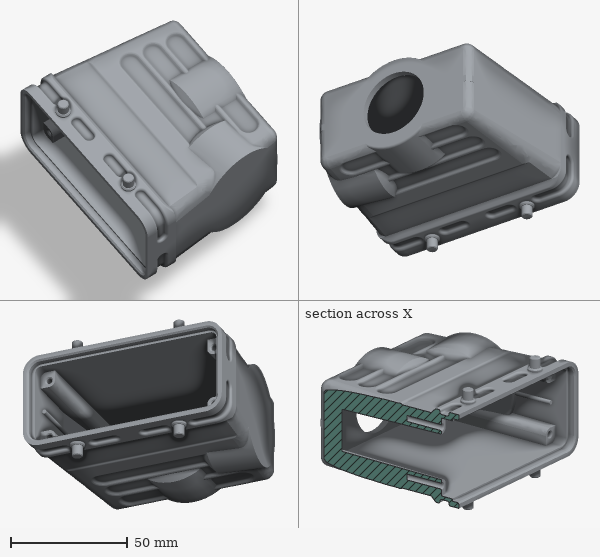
import cadquery as cq
import math


length_x = 93.5
length_y = 76.0
length_z = 55.0
tolerance = 0.01

collar_height = 43.2
collar_corner = 7.5
collar_depth = 15.0
collar_chamfer_start = 12.6
collar_chamfer_round = 0.9

body_height = 39.65
body_front_half_x = 46.5
body_back_half_x = 38.2
body_front_corner = 7.4
body_back_corner = 4.1
body_back_round = 3.7
taper = (body_front_half_x - body_back_half_x) / (length_y - collar_depth)
taper_angle = math.degrees(math.atan(taper))

panel_half_z = 19.3
panel_end = 30.3
panel_ramp = 1.7

mouth_length = 88.65
mouth_height = 37.8
mouth_corner = 5.1
mouth_chamfer = 0.7
mouth_depth = 3.5
cavity_half_x = 42.6
cavity_front_half_z = 17.9
cavity_back_half_z = 16.9
cavity_taper_start = 33.7
cavity_corner = 2.8
cavity_back_round = 1.6
back_wall = 3.1
cavity_end = length_y - back_wall
cavity_back_half_x = cavity_half_x - taper * (cavity_end - cavity_taper_start)

entry_bore = 30.4
entry_boss_radius = 22.4
back_boss_start = 54.2
back_boss_round = 0.9
side_axis_x = 20.7
side_axis_y = 49.7
side_wall_x = body_front_half_x - taper * (side_axis_y - collar_depth)
side_boss_height = (side_wall_x - side_axis_x) * math.cos(math.atan(taper))
side_pad_thickness = 4.9
side_pad_round = 0.9

groove_depth = 1.2
groove_floor_radius = 3.65
groove_round = 1.0
groove_edge_margin = 1.9
groove_first_y = 67.7
groove_pitch = 11.08
groove_left_centres = [-26.5, -28.05, -29.4]
groove_right_centre = 26.6

slot_width = 4.6
slot_depth = 2.0
slot_y = 7.9
slot_floor_round = 0.8
slot_edge_round = 1.0
slot_inner_centre = 7.4
slot_outer_centre = 16.3
corner_slot_centre_x = 30.7
corner_slot_centre_z = 7.7

pin_x = 23.9
pin_y = 6.2
pin_diameter = 4.8
pin_chamfer = 0.4
washer_diameter = 6.5
washer_height = 1.3
washer_chamfer = 0.6

post_x = 38.7
post_z = 13.5
post_start = 9.3
post_inner_x = 35.8
post_inner_z = 10.4
post_corner = 2.9
post_draft = 0.9
screw_diameter = 2.5
screw_mouth = 3.65
screw_depth = 18.7

rib_radius = 0.9
rib_tip_x = 40.8
rib_start = 10.9
rib_length = 23.4
tab_width = 3.2
tab_chamfer = 1.8


def rounded_rect(length, height, corner):
    return cq.Sketch().rect(length, height).vertices().fillet(corner)


def along_y(y):
    """Workplane at height y along the hood, extruding towards +Y with local axes -X and Z."""
    return cq.Workplane(cq.Plane((0, y, 0), (-1, 0, 0), (0, 1, 0)))


def prism_z(points, half_height):
    return cq.Workplane("XY").polyline(points).close().extrude(half_height, both=True)


def prism_x(points, half_length):
    return cq.Workplane("YZ").polyline(points).close().extrude(half_length, both=True)


def both_faces(shape):
    return shape.union(shape.mirror("XY"))


def four_corners(shape):
    half = shape.union(shape.mirror("YZ"))
    return both_faces(half)


def make_collar():
    outline = rounded_rect(length_x, collar_height, collar_corner)
    collar = along_y(0).placeSketch(outline).extrude(collar_depth)
    half = collar_height / 2
    bevel = prism_x(
        [(collar_chamfer_start, half), (collar_depth, half), (collar_depth, panel_half_z)],
        length_x,
    )
    collar = collar.cut(both_faces(bevel))
    low = (-length_x, collar_chamfer_start - tolerance, -collar_height)
    high = (length_x, collar_chamfer_start + tolerance, collar_height)
    return collar.edges(cq.selectors.BoxSelector(low, high, boundingbox=True)).fillet(collar_chamfer_round)


def make_body():
    front = rounded_rect(2 * body_front_half_x, body_height, body_front_corner)
    back = rounded_rect(2 * body_back_half_x, body_height, body_back_corner)
    back = back.moved(cq.Location(cq.Vector(0, 0, length_y - collar_depth)))
    body = along_y(collar_depth).placeSketch(front, back).loft(ruled=True)
    body = body.faces(">Y").edges().fillet(body_back_round)
    top = body_height / 2
    ramp_middle = (panel_end + panel_ramp / 2, (panel_half_z + top) / 2)
    panel = (
        cq.Workplane("YZ")
        .moveTo(collar_depth, panel_half_z)
        .lineTo(panel_end, panel_half_z)
        .tangentArcPoint(ramp_middle, relative=False)
        .tangentArcPoint((panel_end + panel_ramp, top), relative=False)
        .lineTo(collar_depth, top)
        .close()
        .extrude(length_x, both=True)
    )
    return body.cut(both_faces(panel))


def make_groove(index):
    """Stadium-shaped cutter with a rounded floor and 45 degree sides, for the +Z face."""
    left = groove_left_centres[index]
    span = groove_right_centre - left
    middle = (left + groove_right_centre) / 2
    floor_z = body_height / 2 - groove_depth
    plane = cq.Workplane("XY", origin=(middle, groove_first_y - index * groove_pitch, floor_z))
    groove = plane.slot2D(span + 2 * groove_floor_radius, 2 * groove_floor_radius)
    groove = groove.extrude(groove_depth, taper=-45)
    return groove.faces("<Z").edges().fillet(groove_round)


def cut_grooves(body):
    for index in range(len(groove_left_centres)):
        body = body.cut(both_faces(make_groove(index)))
    top = body_height / 2
    reach = body_back_half_x - body_back_corner
    for face_z in (-top, top):
        low = (-reach, panel_end + 2 * panel_ramp, face_z - tolerance)
        high = (reach, length_y - groove_edge_margin, face_z + tolerance)
        body = body.edges(cq.selectors.BoxSelector(low, high, boundingbox=True)).fillet(groove_round)
    return body


def coned_boss(length):
    """Solid boss along local +Z whose starting end is a 45 degree cone."""
    r = entry_boss_radius
    profile = [(0, -r), (r, 0), (r, length), (0, length)]
    return cq.Workplane("XZ").polyline(profile).close().revolve(360, (0, 0), (0, 1))


def place_side(shape, distance):
    """Turn a shape along local Z onto the axis square to the sloping +X wall."""
    angle = math.radians(taper_angle)
    x = side_axis_x + distance * math.cos(angle)
    y = side_axis_y + distance * math.sin(angle)
    turned = shape.rotate((0, 0, 0), (0, 1, 0), 90).rotate((0, 0, 0), (0, 0, 1), taper_angle)
    return turned.translate((x, y, 0))


def make_back_boss():
    boss = coned_boss(length_y - back_boss_start).faces(">Z").edges().fillet(back_boss_round)
    return boss.rotate((0, 0, 0), (1, 0, 0), -90).translate((0, back_boss_start, 0))


def make_side_pad():
    """Thick pad inside the +X wall, round towards the mouth and running straight to the end wall."""
    start = side_boss_height - side_pad_thickness
    pad = cq.Workplane("XY").circle(entry_boss_radius).extrude(side_pad_thickness)
    reach = entry_boss_radius
    straight = cq.Workplane("XY").center(0, reach).rect(2 * reach, 2 * reach).extrude(side_pad_thickness)
    pad = pad.union(straight).faces("<Z").edges().fillet(side_pad_round)
    return place_side(pad, start)


def make_post(depth):
    """Drafted post in the +X +Z cavity corner, running from its screw face to the end wall."""
    def section(growth):
        near_x = post_inner_x - growth
        near_z = post_inner_z - growth
        size_x = length_x / 2 - near_x
        size_z = collar_height / 2 - near_z
        outline = cq.Sketch().rect(size_x, size_z).vertices(">X and <Y").fillet(post_corner)
        return outline.moved(cq.Location(cq.Vector(-near_x - size_x / 2, near_z + size_z / 2, 0)))

    back = section(post_draft).moved(cq.Location(cq.Vector(0, 0, depth)))
    return along_y(post_start).placeSketch(section(0), back).loft(ruled=True)


def make_cavity():
    """Hollow behind the mouth, leaving the side pad and the four screw posts standing."""
    plan = prism_z(
        [
            (-cavity_half_x, 0),
            (cavity_half_x, 0),
            (cavity_half_x, cavity_taper_start),
            (cavity_back_half_x, cavity_end),
            (-cavity_back_half_x, cavity_end),
            (-cavity_half_x, cavity_taper_start),
        ],
        cavity_front_half_z,
    )
    profile = prism_x(
        [
            (0, -cavity_front_half_z),
            (mouth_depth, -cavity_front_half_z),
            (cavity_end, -cavity_back_half_z),
            (cavity_end, cavity_back_half_z),
            (mouth_depth, cavity_front_half_z),
            (0, cavity_front_half_z),
        ],
        cavity_half_x,
    )
    rounded_corners = plan.intersect(profile).edges("not(|X or |Z)").fillet(cavity_corner)
    rounded_back = plan.cut(make_side_pad()).faces(">Y").edges("|Z").fillet(cavity_back_round)
    posts = four_corners(make_post(cavity_end - post_start))
    return rounded_corners.intersect(rounded_back).cut(posts)


def make_mouth():
    """Stepped recess at the mouth with a chamfered lip."""
    opening = rounded_rect(mouth_length, mouth_height, mouth_corner)
    recess = along_y(0).placeSketch(opening).extrude(mouth_depth)
    lip = rounded_rect(
        mouth_length + 2 * mouth_chamfer,
        mouth_height + 2 * mouth_chamfer,
        mouth_corner + mouth_chamfer,
    )
    return recess.union(along_y(0).placeSketch(lip).extrude(mouth_chamfer, taper=45))


def make_screw_hole():
    r = screw_diameter / 2
    mouth = screw_mouth / 2
    plane = cq.Workplane("XY", origin=(post_x, post_start, post_z))
    profile = [(0, 0), (mouth, 0), (r, mouth - r), (r, screw_depth), (0, screw_depth)]
    return plane.polyline(profile).close().revolve(360, (0, 0), (0, 1))


def make_ribs():
    rib = along_y(rib_start).center(-rib_tip_x - rib_radius, 0).circle(rib_radius).extrude(rib_length)
    return rib.union(rib.mirror("YZ"))


def stadium_prism(plane, length, angle=0):
    return plane.slot2D(length, slot_width, angle).extrude(length_x)


def skin_depth(point):
    """Distance of a point inside the rounded outline of the collar."""
    past_x = abs(point.x) - (length_x / 2 - collar_corner)
    past_z = abs(point.z) - (collar_height / 2 - collar_corner)
    reach = math.hypot(max(past_x, 0), max(past_z, 0)) + min(max(past_x, past_z), 0)
    return collar_corner - reach


def slot_rim(shape, depth):
    """Edges running along a slot at one depth below the collar skin."""
    def on_rim(edge):
        points = [edge.startPoint(), edge.endPoint(), edge.positionAt(0.5)]
        at_depth = all(abs(skin_depth(p) - depth) < tolerance for p in points)
        in_band = all(abs(p.y - slot_y) < slot_width / 2 + tolerance for p in points)
        crosses = edge.geomType() == "LINE" and abs(points[0].y - points[1].y) > tolerance
        return at_depth and in_band and not crosses

    return shape.edges().filter(on_rim)


def make_slots():
    """One straight slot and one slot wrapping round the corner, in the +X +Z quarter."""
    core = rounded_rect(
        length_x - 2 * slot_depth,
        collar_height - 2 * slot_depth,
        collar_corner - slot_depth,
    )
    around = rounded_rect(2 * length_x, 2 * length_x, collar_corner)
    shell = along_y(0).placeSketch(around).extrude(collar_depth)
    shell = shell.cut(along_y(0).placeSketch(core).extrude(collar_depth))

    inner_span = slot_outer_centre - slot_inner_centre
    inner_plane = cq.Workplane("XY", origin=((slot_outer_centre + slot_inner_centre) / 2, slot_y, 0))
    straight = stadium_prism(inner_plane, inner_span + slot_width)

    top_plane = cq.Workplane("XY", origin=(corner_slot_centre_x + length_x / 2, slot_y, 0))
    side_plane = cq.Workplane("YZ", origin=(0, slot_y, corner_slot_centre_z + length_x / 2))
    wrapping = stadium_prism(top_plane, length_x + slot_width)
    wrapping = wrapping.intersect(stadium_prism(side_plane, length_x + slot_width, 90))

    slots = straight.union(wrapping).intersect(shell)
    return slot_rim(slots, slot_depth).fillet(slot_floor_round)


def make_pin():
    """Locking pin on a chamfered washer, both rooted one unit below the collar skin."""
    base = collar_height / 2
    r = pin_diameter / 2
    washer = cq.Workplane("XY", origin=(pin_x, pin_y, base - 0.9)).circle(washer_diameter / 2)
    washer = washer.extrude(washer_height + 0.9).faces(">Z").edges().chamfer(washer_chamfer)
    pin = cq.Workplane("XY", origin=(pin_x, pin_y, base - 0.9)).circle(r).extrude(length_z / 2 - base + 0.9)
    return washer.union(pin.faces(">Z").edges().chamfer(pin_chamfer))


def make_gate_tab():
    """Flat chamfered tab across the rounded back edge of each end wall."""
    wall_x = body_back_half_x + taper * body_back_round
    chamfer_x = body_back_half_x + taper * tab_chamfer
    tab = prism_z(
        [
            (wall_x, length_y - body_back_round),
            (chamfer_x, length_y - tab_chamfer),
            (body_back_half_x - tab_chamfer, length_y),
            (body_back_half_x - body_back_round, length_y),
            (body_back_half_x - body_back_round, length_y - body_back_round),
        ],
        tab_width / 2,
    )
    return tab.union(tab.mirror("YZ"))


collar = make_collar().cut(four_corners(make_slots()))
collar = slot_rim(collar, 0).fillet(slot_edge_round)
body = cut_grooves(make_body())
side_boss = place_side(coned_boss(side_boss_height), 0)
hood = collar.union(body).union(make_back_boss()).union(side_boss).union(make_gate_tab())

hood = hood.cut(make_mouth()).cut(make_cavity())
hood = hood.union(make_ribs())
hood = hood.cut(four_corners(make_screw_hole()))
hood = hood.cut(along_y(back_boss_start).circle(entry_bore / 2).extrude(length_y - back_boss_start))

result = hood.union(four_corners(make_pin()))